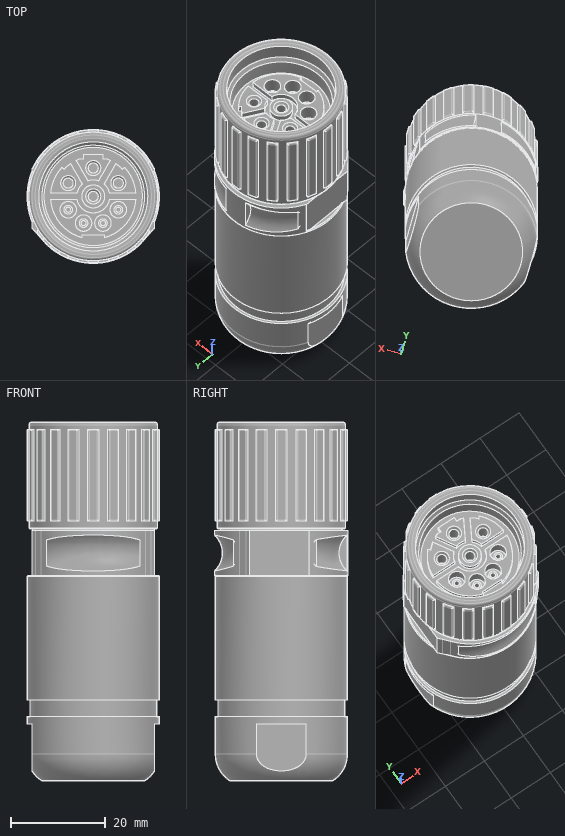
import cadquery as cq
import math

HEIGHT = 75.85
BODY_WIDTH = 28.0
NECK_DEPTH = 28.3
BODY_R = BODY_WIDTH / 2
GROOVE_R = 13.4
NECK_R = NECK_DEPTH / 2
GAP_R = 12.9
SLEEVE_R = 13.6
SLEEVE_TOP_FILLET = 0.6

CAP_ARC_TOP = 5.7
CAP_FLAT_TOP = 12.0
CAP_TOP = 13.6
BODY_BOTTOM = 17.1
BODY_TOP = 43.45
NECK_TOP = 52.95
SLEEVE_BOTTOM = 53.25
RIB_BOTTOM = 54.9
RIB_TOP = 74.25
EDGE_BREAK = 0.2

CAP_BASE_R = 10.85
CAP_ARC_R = 6.75
FLAT_X = 13.0
FLAT_WIDTH = 2 * math.sqrt(BODY_R**2 - FLAT_X**2)

CORNER_FLAT_Y = -6.7
CORNER_MID = (12.2, -7.5)
CORNER_ARC_X = 11.1
REAR_CORNER_BEVEL = 0.15

RECESS_Z = 48.2
RECESS_HALF_HEIGHT = 3.8
RECESS_DEPTH = 1.7
FRONT_RECESS_AXIS_Y = 3.8
FRONT_RECESS_HALF_WIDTH = 9.85
REAR_RECESS_AXIS_Y = -1.9
REAR_RECESS_INNER_X = 2.8
REAR_RECESS_OUTER_X = 12.05

RIB_COUNT = 20
RIB_BASE_WIDTH = 2.6
RIB_TOP_WIDTH = 2.0
RIB_FILLET = 0.2
RIB_ROOT_R = 13.3

MOUTH_R = 12.3
MOUTH_CHAMFER = 0.2
SOCKET_R = 11.5
SEAT_R = 10.85
SOCKET_FLOOR_R = 10.4
STEP_TOP_DEPTH = 3.9
STEP_BOTTOM_DEPTH = 4.7
INSERT_DEPTH = 6.45
FLOOR_DEPTH = 7.9

INSERT_R = 9.0
RELIEF_R = 8.4
RELIEF_EDGE_ANGLE = 43
INSERT_TOP = HEIGHT - INSERT_DEPTH
INSERT_FLOOR = HEIGHT - FLOOR_DEPTH
INSERT_FLAT_Y = 7.9
KEY_WIDTH = 4.1
KEY_DEPTH = 1.0
NOTCH_WIDTH = 4.85
NOTCH_Y = 8.2
DIVIDER_WIDTH = 1.4
DIVIDER_ANGLES = (0, 60, 120, 180)
HUB_RECESS_R = 3.5
HUB_R = 2.4

CONTACT_CIRCLE_R = 6.0
CONTACT_DEPTH = 6.1
POWER_ANGLES = (28, 90, 152)
POWER_R = 1.05
POWER_MOUTH_R = 1.6
POWER_MOUTH_DEPTH = 0.5
SIGNAL_ANGLES = (208, 250, 290, 332)
SIGNAL_WELL_R = 1.75
SIGNAL_WELL_DEPTH = 3.8
SIGNAL_PIN_HEIGHT = 1.1
SIGNAL_PIN_R = 0.9
SIGNAL_HOLE_R = 0.5


def cylinder(radius, bottom, top, center=(0, 0)):
    return cq.Workplane("XY", origin=(*center, bottom)).circle(radius).extrude(top - bottom)


def polar(radius, angle):
    turn = math.radians(angle)
    return radius * math.cos(turn), radius * math.sin(turn)


def make_body():
    """End cap, seal groove and main tube, turned as one profile."""
    arc_center_r = BODY_R - CAP_ARC_R
    end_angle = math.atan2(-CAP_ARC_TOP, CAP_BASE_R - arc_center_r)
    arc_mid = (
        arc_center_r + CAP_ARC_R * math.cos(end_angle / 2),
        CAP_ARC_TOP + CAP_ARC_R * math.sin(end_angle / 2),
    )
    body = (
        cq.Workplane("XZ")
        .moveTo(0, 0)
        .lineTo(CAP_BASE_R, 0)
        .threePointArc(arc_mid, (BODY_R, CAP_ARC_TOP))
        .lineTo(BODY_R, CAP_TOP)
        .lineTo(GROOVE_R, CAP_TOP)
        .lineTo(GROOVE_R, BODY_BOTTOM)
        .lineTo(BODY_R, BODY_BOTTOM)
        .lineTo(BODY_R, BODY_TOP - EDGE_BREAK)
        .lineTo(BODY_R - EDGE_BREAK, BODY_TOP)
        .lineTo(0, BODY_TOP)
        .close()
        .revolve(360, (0, 0), (0, 1))
    )
    cut_depth = BODY_R - CAP_BASE_R
    for side in (-1, 1):
        flat = cq.Workplane("XY").box(cut_depth, FLAT_WIDTH, CAP_FLAT_TOP, centered=(True, True, False))
        body = body.cut(flat.translate((side * (FLAT_X + cut_depth / 2), 0, 0)))
    return body


def recess_ring(axis_y, bottom_r):
    """Concave ring whose arc profile is swept around a vertical axis at Y = axis_y."""
    arc_r = (RECESS_HALF_HEIGHT**2 + RECESS_DEPTH**2) / (2 * RECESS_DEPTH)
    return (
        cq.Workplane("XZ", origin=(0, axis_y, 0))
        .center(bottom_r + arc_r, RECESS_Z)
        .circle(arc_r)
        .revolve(360, (-bottom_r - arc_r, 0), (-bottom_r - arc_r, 1))
    )


def recess_block(x_min, x_max, y_side):
    height = NECK_TOP - BODY_TOP
    block = cq.Workplane("XY").box(x_max - x_min, NECK_R, height, centered=(False, True, False))
    return block.translate((x_min, y_side * NECK_R / 2, BODY_TOP))


def make_neck():
    """Flat-sided neck with one front recess and two rear recesses."""
    rear_arc_x = FLAT_X - REAR_CORNER_BEVEL
    rear_arc_y = math.sqrt(NECK_R**2 - rear_arc_x**2)
    rear_flat_y = rear_arc_y - REAR_CORNER_BEVEL
    corner_arc_y = -math.sqrt(NECK_R**2 - CORNER_ARC_X**2)
    neck = (
        cq.Workplane("XY", origin=(0, 0, BODY_TOP))
        .moveTo(FLAT_X, CORNER_FLAT_Y)
        .lineTo(FLAT_X, rear_flat_y)
        .lineTo(rear_arc_x, rear_arc_y)
        .threePointArc((0, NECK_R), (-rear_arc_x, rear_arc_y))
        .lineTo(-FLAT_X, rear_flat_y)
        .lineTo(-FLAT_X, CORNER_FLAT_Y)
        .lineTo(-CORNER_MID[0], CORNER_MID[1])
        .lineTo(-CORNER_ARC_X, corner_arc_y)
        .threePointArc((0, -NECK_R), (CORNER_ARC_X, corner_arc_y))
        .lineTo(*CORNER_MID)
        .close()
        .extrude(NECK_TOP - BODY_TOP)
    )
    bottom_y = NECK_R - RECESS_DEPTH
    front = recess_ring(FRONT_RECESS_AXIS_Y, bottom_y + FRONT_RECESS_AXIS_Y)
    rear = recess_ring(REAR_RECESS_AXIS_Y, bottom_y - REAR_RECESS_AXIS_Y)
    neck = neck.cut(front.intersect(recess_block(-FRONT_RECESS_HALF_WIDTH, FRONT_RECESS_HALF_WIDTH, -1)))
    for x_min in (REAR_RECESS_INNER_X, -REAR_RECESS_OUTER_X):
        x_max = x_min + REAR_RECESS_OUTER_X - REAR_RECESS_INNER_X
        neck = neck.cut(rear.intersect(recess_block(x_min, x_max, 1)))
    return neck.union(cylinder(GAP_R, NECK_TOP, SLEEVE_BOTTOM))


def make_sleeve():
    """Round sleeve with rounded vertical grip ribs."""
    sleeve = cylinder(SLEEVE_R, SLEEVE_BOTTOM, HEIGHT)
    sleeve = sleeve.faces("<Z").edges().chamfer(EDGE_BREAK)
    sleeve = sleeve.faces(">Z").edges().fillet(SLEEVE_TOP_FILLET)
    rib = (
        cq.Workplane("XY", origin=(0, 0, RIB_BOTTOM))
        .moveTo(RIB_ROOT_R, -RIB_BASE_WIDTH / 2)
        .lineTo(BODY_R, -RIB_TOP_WIDTH / 2)
        .lineTo(BODY_R, RIB_TOP_WIDTH / 2)
        .lineTo(RIB_ROOT_R, RIB_BASE_WIDTH / 2)
        .close()
        .extrude(RIB_TOP - RIB_BOTTOM)
        .faces(">X")
        .edges()
        .fillet(RIB_FILLET)
    )
    for index in range(RIB_COUNT):
        sleeve = sleeve.union(rib.rotate((0, 0, 0), (0, 0, 1), index * 360 / RIB_COUNT))
    return sleeve


def make_socket():
    """Stepped, tapering cavity to remove from the sleeve."""
    return (
        cq.Workplane("XZ")
        .moveTo(0, HEIGHT)
        .lineTo(MOUTH_R, HEIGHT)
        .lineTo(SOCKET_R, HEIGHT - MOUTH_CHAMFER)
        .lineTo(SOCKET_R, HEIGHT - STEP_TOP_DEPTH)
        .lineTo(SEAT_R, HEIGHT - STEP_BOTTOM_DEPTH)
        .lineTo(SOCKET_FLOOR_R, INSERT_FLOOR)
        .lineTo(0, INSERT_FLOOR)
        .close()
        .revolve(360, (0, 0), (0, 1))
    )


def make_insert_relief():
    """Shallow step around the rear part of the carrier rim, to remove from it."""
    outer_r = SOCKET_FLOOR_R
    return (
        cq.Workplane("XY", origin=(0, 0, INSERT_FLOOR))
        .moveTo(*polar(RELIEF_R, RELIEF_EDGE_ANGLE))
        .threePointArc((0, RELIEF_R), polar(RELIEF_R, 180 - RELIEF_EDGE_ANGLE))
        .lineTo(*polar(outer_r, 180 - RELIEF_EDGE_ANGLE))
        .threePointArc((0, outer_r), polar(outer_r, RELIEF_EDGE_ANGLE))
        .close()
        .extrude(INSERT_TOP - INSERT_FLOOR)
    )


def make_insert():
    """Raised contact carrier split by radial dividers around a central hub."""
    rise = INSERT_TOP - INSERT_FLOOR
    floor = cq.Workplane("XY", origin=(0, 0, INSERT_FLOOR))
    insert = cylinder(INSERT_R, INSERT_FLOOR, INSERT_TOP)
    edge_depth = SOCKET_FLOOR_R - INSERT_FLAT_Y
    insert = insert.cut(make_insert_relief())
    rear_edge = floor.center(0, INSERT_FLAT_Y + edge_depth / 2).rect(2 * INSERT_R, edge_depth)
    insert = insert.cut(rear_edge.extrude(rise))
    key = floor.center(0, INSERT_FLAT_Y + KEY_DEPTH / 2).rect(KEY_WIDTH, KEY_DEPTH)
    insert = insert.union(key.extrude(rise))
    notch = floor.center(0, -NOTCH_Y - edge_depth / 2).rect(NOTCH_WIDTH, edge_depth)
    insert = insert.cut(notch.extrude(rise))
    insert = insert.cut(cylinder(HUB_RECESS_R, INSERT_FLOOR, INSERT_TOP))
    divider = floor.center(INSERT_R / 2, 0).rect(INSERT_R, DIVIDER_WIDTH).extrude(rise)
    for angle in DIVIDER_ANGLES:
        insert = insert.cut(divider.rotate((0, 0, 0), (0, 0, 1), angle))
    return insert.union(cylinder(HUB_R, INSERT_FLOOR, INSERT_TOP))


def power_hole(center):
    """Round contact hole with a conical mouth."""
    hole = cylinder(POWER_R, INSERT_TOP - CONTACT_DEPTH, INSERT_TOP, center)
    mouth = (
        cq.Workplane("XY", origin=(*center, INSERT_TOP))
        .circle(POWER_MOUTH_R)
        .workplane(offset=-POWER_MOUTH_DEPTH)
        .circle(POWER_R)
        .loft()
    )
    return hole.union(mouth)


def signal_hole(center):
    """Deep round well with a short hollow contact standing on its floor."""
    well_bottom = INSERT_TOP - SIGNAL_WELL_DEPTH
    well = cylinder(SIGNAL_WELL_R, well_bottom, INSERT_TOP, center)
    pin = cylinder(SIGNAL_PIN_R, well_bottom, well_bottom + SIGNAL_PIN_HEIGHT, center)
    well = well.cut(pin)
    return well.union(cylinder(SIGNAL_HOLE_R, INSERT_TOP - CONTACT_DEPTH, INSERT_TOP, center))


result = make_body().union(make_neck()).union(make_sleeve())
result = result.cut(make_socket()).union(make_insert())
result = result.cut(power_hole((0, 0)))
for contact_angle in POWER_ANGLES:
    result = result.cut(power_hole(polar(CONTACT_CIRCLE_R, contact_angle)))
for contact_angle in SIGNAL_ANGLES:
    result = result.cut(signal_hole(polar(CONTACT_CIRCLE_R, contact_angle)))